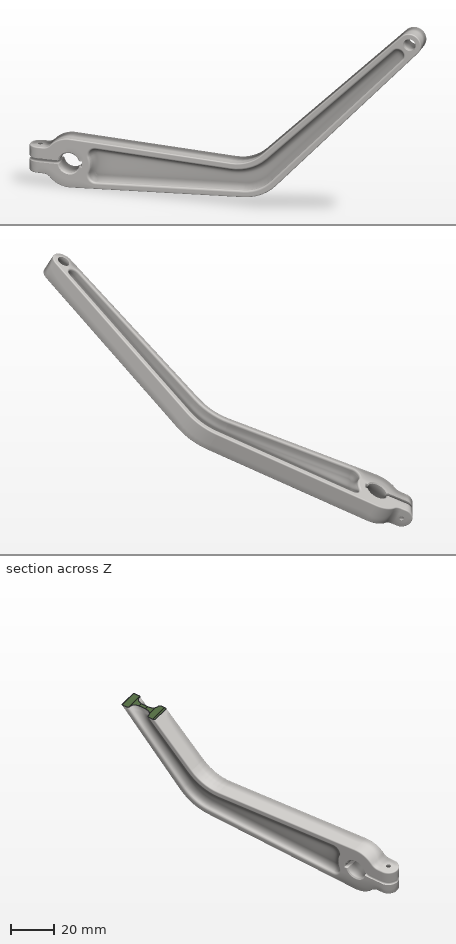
import cadquery as cq
import math

length = 188.7
height = 93.6
thickness = 10.0

boss_radius = 12.0
bore_diameter = 9.8
bore_radius = bore_diameter / 2
bore_chamfer = 0.5
key_width = 3.0
key_reach = 6.5
slot_width = 1.9
tab_reach = 20.0
tab_half_height = 6.5
tab_root_radius = 4.5
tab_end_flat = 0.02
tab_end_radius = (thickness - tab_end_flat) / 2
screw_hole_diameter = 2.3

elbow_x = 89.3
elbow_half_width = 7.7
inside_bend_radius = 20.0
outside_bend_radius = 22.6
eye_radius = 5.5
eye_hole_diameter = 5.9
outer_edge_radius = 0.5

boss = (0, 0)
elbow = (elbow_x, 0)
eye = (length - tab_reach - eye_radius, height - boss_radius - eye_radius)

pocket_depth = 4.0
pocket_boss_half_width = 8.9
pocket_elbow_half_width = 4.5
pocket_end_radius = 2.8
pocket_end_setback = 8.1
pocket_near_radius = 10.2
pocket_corner_radius = 3.4
pocket_floor_radius = 2.6
pocket_rim_radius = 1.0


def polar(center, radius, angle):
    return (center[0] + radius * math.cos(angle), center[1] + radius * math.sin(angle))


def mirrored(point):
    return (point[0], -point[1])


def toward(start, end, distance):
    """Point at a distance from start on the way to end."""
    ratio = distance / math.dist(start, end)
    return (start[0] + ratio * (end[0] - start[0]), start[1] + ratio * (end[1] - start[1]))


def tangent_angle(start, start_radius, end, end_radius, side):
    """Direction of the normal of the line touching two circles; side is +1 for left, -1 for right."""
    heading = math.atan2(end[1] - start[1], end[0] - start[0])
    return heading + side * math.acos((start_radius - end_radius) / math.dist(start, end))


def corner_of(center, radius_in, normal_in, radius_out, normal_out):
    """Meeting point of two lines, each given by its normal angle and its distance from center."""
    determinant = math.sin(normal_out - normal_in)
    x = (radius_in * math.sin(normal_out) - radius_out * math.sin(normal_in)) / determinant
    z = (radius_out * math.cos(normal_in) - radius_in * math.cos(normal_out)) / determinant
    return (center[0] + x, center[1] + z)


def bend(normal_in, normal_out, half_width, radius, side):
    """Start, middle and end of the arc that rounds one side of the elbow."""
    corner = corner_of(elbow, half_width, normal_in, half_width, normal_out)
    turn = normal_out - normal_in
    setback = radius * math.tan(turn / 2)
    travel_in = normal_in - side * math.pi / 2
    travel_out = normal_out - side * math.pi / 2
    middle_normal = (normal_in + normal_out) / 2
    center = polar(corner, side * radius / math.cos(turn / 2), middle_normal)
    return (
        polar(corner, -setback, travel_in),
        polar(center, -side * radius, middle_normal),
        polar(corner, setback, travel_out),
    )


def arm_sides(boss_half, elbow_half, tip, tip_half, inside_radius, outside_radius):
    """Normals of the four tapered lines and the two elbow arcs, keyed by side (+1 upper, -1 lower)."""
    sides = {}
    for side, radius in ((1, inside_radius), (-1, outside_radius)):
        first = tangent_angle(boss, boss_half, elbow, elbow_half, side)
        second = tangent_angle(elbow, elbow_half, tip, tip_half, side)
        sides[side] = (first, second, bend(first, second, elbow_half, radius, side))
    return sides


def lever_outline():
    """Closed outline of tab, boss, bent arm and eye on the +Y face."""
    sides = arm_sides(boss_radius, elbow_half_width, eye, eye_radius, inside_bend_radius, outside_bend_radius)
    upper_first, upper_second, upper_bend = sides[1]
    lower_first, lower_second, lower_bend = sides[-1]

    root_center_z = tab_half_height + tab_root_radius
    root_center_x = -math.sqrt((boss_radius + tab_root_radius) ** 2 - root_center_z**2)
    contact_angle = math.atan2(root_center_z, root_center_x)
    root_middle_angle = (contact_angle - math.pi - math.pi / 2) / 2
    contact = polar(boss, boss_radius, contact_angle)
    root_middle = polar((root_center_x, root_center_z), tab_root_radius, root_middle_angle)
    boss_middle = polar(boss, boss_radius, (contact_angle + upper_first) / 2)
    eye_end = polar(eye, eye_radius, (upper_second + lower_second) / 2)

    return (
        cq.Workplane("XZ", origin=(0, thickness / 2, 0))
        .moveTo(-tab_reach, tab_half_height)
        .lineTo(root_center_x, tab_half_height)
        .threePointArc(root_middle, contact)
        .threePointArc(boss_middle, polar(boss, boss_radius, upper_first))
        .lineTo(*upper_bend[0])
        .threePointArc(upper_bend[1], upper_bend[2])
        .lineTo(*polar(eye, eye_radius, upper_second))
        .threePointArc(eye_end, polar(eye, eye_radius, lower_second))
        .lineTo(*lower_bend[2])
        .threePointArc(lower_bend[1], lower_bend[0])
        .lineTo(*polar(boss, boss_radius, lower_first))
        .threePointArc(mirrored(boss_middle), mirrored(contact))
        .threePointArc(mirrored(root_middle), (root_center_x, -tab_half_height))
        .lineTo(-tab_reach, -tab_half_height)
        .close()
    )


def lever_blank():
    """Outline plate with the tab rounded in plan and its outer edges softened."""
    plate = lever_outline().extrude(thickness)
    plate = plate.edges("|Z").edges("<X").fillet(tab_end_radius)
    return plate.faces("<Y or >Y").edges().fillet(outer_edge_radius)


def pocket_cutter():
    """Pocket solid sunk from the -Y face, with a rounded floor edge."""
    tip = toward(eye, elbow, pocket_end_setback)
    shrink = elbow_half_width - pocket_elbow_half_width
    sides = arm_sides(
        pocket_boss_half_width,
        pocket_elbow_half_width,
        tip,
        pocket_end_radius,
        inside_bend_radius + shrink,
        outside_bend_radius - shrink,
    )
    upper_first, upper_second, upper_bend = sides[1]
    lower_first, lower_second, lower_bend = sides[-1]

    corner_distance = pocket_near_radius + pocket_corner_radius
    corner_swing = math.acos((pocket_boss_half_width - pocket_corner_radius) / corner_distance)
    corner_angle = upper_first - corner_swing
    corner_center = polar(boss, corner_distance, corner_angle)
    near_upper = polar(boss, pocket_near_radius, corner_angle)
    corner_middle = polar(corner_center, pocket_corner_radius, (upper_first + corner_angle + math.pi) / 2)
    corner_end = polar(corner_center, pocket_corner_radius, upper_first)
    tip_end = polar(tip, pocket_end_radius, (upper_second + lower_second) / 2)

    outline = (
        cq.Workplane("XZ", origin=(0, -thickness / 2 + pocket_depth, 0))
        .moveTo(*mirrored(near_upper))
        .threePointArc((pocket_near_radius, 0), near_upper)
        .threePointArc(corner_middle, corner_end)
        .lineTo(*upper_bend[0])
        .threePointArc(upper_bend[1], upper_bend[2])
        .lineTo(*polar(tip, pocket_end_radius, upper_second))
        .threePointArc(tip_end, polar(tip, pocket_end_radius, lower_second))
        .lineTo(*lower_bend[2])
        .threePointArc(lower_bend[1], lower_bend[0])
        .lineTo(*mirrored(corner_end))
        .threePointArc(mirrored(corner_middle), mirrored(near_upper))
        .close()
    )
    return outline.extrude(pocket_depth).faces(">Y").edges().fillet(pocket_floor_radius)


def cut_pockets(body):
    """Sink matching pockets in both faces and round their rims, leaving a web between them."""
    cutter = pocket_cutter()
    body = body.cut(cutter).cut(cutter.mirror("XZ"))
    rims = []
    for face in body.faces("<Y or >Y").vals():
        for wire in face.innerWires():
            rims.extend(wire.Edges())
    return body.newObject(rims).fillet(pocket_rim_radius)


def through_hole(center, radius):
    return cq.Workplane("XZ", origin=(center[0], thickness / 2, center[1])).circle(radius).extrude(thickness)


def cut_clamp(body):
    """Chamfered bore with its keyway, clamping slot and the screw hole across the tab."""
    body = body.cut(through_hole(boss, bore_radius))
    bore_zone = cq.selectors.BoxSelector(
        (-bore_radius, -thickness, -bore_radius), (bore_radius, thickness, bore_radius)
    )
    body = body.faces("<Y or >Y").edges(bore_zone).chamfer(bore_chamfer)
    keyway = cq.Workplane("XY").box(key_reach, thickness, key_width, centered=(False, True, True))
    slot = cq.Workplane("XY").box(tab_reach, thickness, slot_width, centered=(False, True, True))
    slot = slot.translate((-tab_reach, 0, 0))
    screw_hole = (
        cq.Workplane("XY", origin=(tab_end_radius - tab_reach, 0, -tab_half_height))
        .circle(screw_hole_diameter / 2)
        .extrude(2 * tab_half_height)
    )
    return body.cut(keyway).cut(slot).cut(screw_hole)


lever = cut_pockets(lever_blank())
lever = lever.cut(through_hole(eye, eye_hole_diameter / 2))
result = cut_clamp(lever).solids()